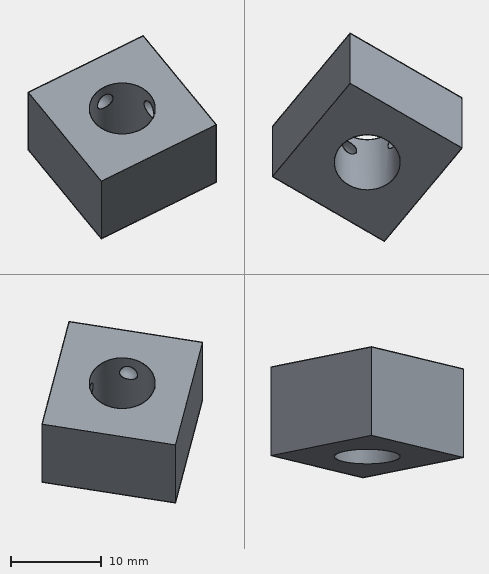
import cadquery as cq

block_side = 15.0
block_height = 10.0

bore_diameter = 7.25
bore_radius = bore_diameter / 2

pocket_diameter = 2.5
pocket_inset = 0.6
pocket_depth = 2.5
pocket_count = 4
pocket_spacing = 360 / pocket_count


def make_block():
    """Plain block with a square footprint."""
    return cq.Workplane("XY").box(block_side, block_side, block_height, centered=(True, True, False))


def make_bore():
    """Cylinder that opens the block from bottom to top."""
    return cq.Workplane("XY").circle(bore_radius).extrude(block_height)


def make_pocket(angle):
    """Ball set into the bore wall at the given angle from +X, its poles lying along the wall."""
    center = (bore_radius + pocket_inset, 0, block_height - pocket_depth)
    ball = cq.Workplane("XZ").sphere(pocket_diameter / 2).translate(center)
    return ball.rotate((0, 0, 0), (0, 0, 1), angle)


result = make_block().cut(make_bore())
for index in range(pocket_count):
    result = result.cut(make_pocket(index * pocket_spacing))